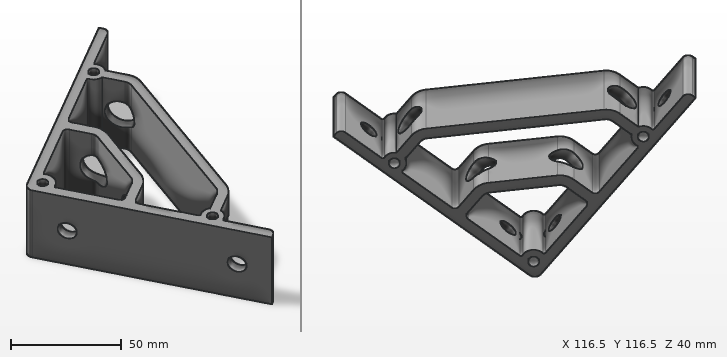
import cadquery as cq
import math

LEG = 116.5
HEIGHT = 40.0
WALL = 5.0
CORNER_RADIUS = 3.5
END_RADIUS = 3.0

PIN_PITCH = 80.0
PIN_INSET = 6.5
PIN_FAR = PIN_INSET + PIN_PITCH
END_PINS = ((PIN_INSET, PIN_FAR), (PIN_FAR, PIN_INSET))
PIN_DIAMETER = 5.0
CORNER_BOSS_RADIUS = 5.9
END_BOSS_RADIUS = 5.4
BOSS_FILLET = 0.8

OUTER_BRACE_MIDLINE = PIN_FAR
OUTER_BRACE_DIAGONAL = 111.6
INNER_BRACE_MIDLINE = 47.6
INNER_BRACE_DIAGONAL = 68.6
BEND_OUTER_RADIUS = 2 * WALL
BEND_INNER_RADIUS = WALL
BRACE_ROOT_FILLET = 2.3

MOUNT_DIAMETER = 9.0
ACCESS_DIAMETER = 15.0
MOUNT_FIRST = 20.0
MOUNT_POSITIONS = (MOUNT_FIRST, MOUNT_FIRST + PIN_PITCH)


def mirrored(point):
    """Reflect a plan point about the line X = Y."""
    return (point[1], point[0])


def fillet_vertical(body, points, radius):
    """Round the vertical edge at each plan point and its mirror image."""
    for point in points:
        for x, y in {point, mirrored(point)}:
            edge = cq.selectors.NearestToPointSelector((x, y, HEIGHT / 2))
            body = body.edges("|Z").edges(edge).fillet(radius)
    return body


def bent_block(reach, diagonal, radius):
    """Square block with its far corner cut at 45 degrees and both bends rounded."""
    bend = (diagonal - reach, reach)
    outline = [(0, 0), (0, reach), bend, mirrored(bend), (reach, 0)]
    block = cq.Workplane("XY").polyline(outline).close().extrude(HEIGHT)
    return fillet_vertical(block, [bend], radius)


def brace(midline, diagonal):
    half = WALL / 2
    shift = half * math.sqrt(2)
    outside = bent_block(midline + half, diagonal + shift, BEND_OUTER_RADIUS)
    inside = bent_block(midline - half, diagonal - shift, BEND_INNER_RADIUS)
    return outside.cut(inside)


def cylinder(x, y, radius):
    return cq.Workplane("XY").center(x, y).circle(radius).extrude(HEIGHT)


def legs():
    outline = [(0, 0), (LEG, 0), (LEG, WALL), (WALL, WALL), (WALL, LEG), (0, LEG)]
    body = cq.Workplane("XY").polyline(outline).close().extrude(HEIGHT)
    body = fillet_vertical(body, [(0, 0)], CORNER_RADIUS)
    return fillet_vertical(body, [(WALL, LEG)], END_RADIUS)


def boss_wall_offset(radius):
    """Distance from a boss centre, along the leg, to where it meets the leg face."""
    return math.sqrt(radius**2 - (PIN_INSET - WALL) ** 2)


def add_bosses(body):
    body = body.union(cylinder(PIN_INSET, PIN_INSET, CORNER_BOSS_RADIUS))
    for x, y in END_PINS:
        body = body.union(cylinder(x, y, END_BOSS_RADIUS))
    end_offset = boss_wall_offset(END_BOSS_RADIUS)
    roots = [
        (WALL, PIN_INSET + boss_wall_offset(CORNER_BOSS_RADIUS)),
        (WALL, PIN_FAR - end_offset),
        (WALL, PIN_FAR + end_offset),
    ]
    return fillet_vertical(body, roots, BOSS_FILLET)


def cut_pin_holes(body):
    for x, y in ((PIN_INSET, PIN_INSET), *END_PINS):
        body = body.cut(cylinder(x, y, PIN_DIAMETER / 2))
    return body


def cut_mount_holes(body):
    middle = HEIGHT / 2
    for position in MOUNT_POSITIONS:
        for start, direction in (
            (cq.Vector(position, 0, middle), cq.Vector(0, 1, 0)),
            (cq.Vector(0, position, middle), cq.Vector(1, 0, 0)),
        ):
            mount = cq.Solid.makeCylinder(MOUNT_DIAMETER / 2, WALL, start, direction)
            body = body.cut(cq.Workplane(mount))
            access_start = start + direction * WALL
            access = cq.Solid.makeCylinder(ACCESS_DIAMETER / 2, LEG, access_start, direction)
            body = body.cut(cq.Workplane(access))
    return body


result = legs()
result = result.union(brace(INNER_BRACE_MIDLINE, INNER_BRACE_DIAGONAL))
inner_roots = [(WALL, INNER_BRACE_MIDLINE + side * WALL / 2) for side in (-1, 1)]
result = fillet_vertical(result, inner_roots, BRACE_ROOT_FILLET)
result = result.union(brace(OUTER_BRACE_MIDLINE, OUTER_BRACE_DIAGONAL))
result = add_bosses(result)
result = cut_pin_holes(result)
result = cut_mount_holes(result)